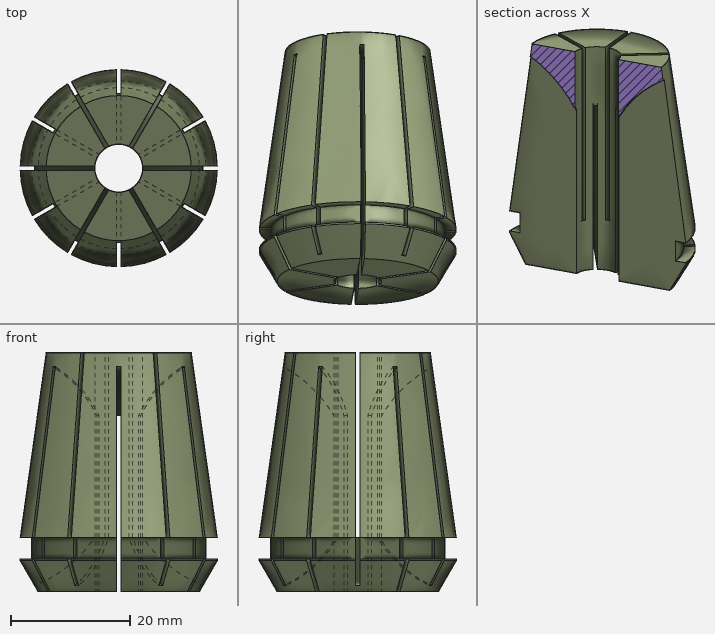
import cadquery as cq
import math

height = 40.0
max_radius = 33.0 / 2
bore_radius = 4.0

taper_bottom = 9.05
taper_half_angle = 8.0
top_radius = max_radius - (height - taper_bottom) * math.tan(math.radians(taper_half_angle))

groove_radius = 14.6
groove_bottom = 5.5
rim_height = 0.3
rim_bottom = groove_bottom - rim_height
nose_half_angle = 30.0
nose_radius = max_radius - rim_bottom * math.tan(math.radians(nose_half_angle))

slots_per_end = 6
slot_pitch = 360.0 / slots_per_end
slot_width = 0.7
saw_radius = 22.0
top_slot_saw_distance = 22.15
top_slot_saw_height = 21.5
bottom_slot_saw_distance = 22.95
bottom_slot_saw_height = 18.3
cut_clearance = 2.0


def collet_body():
    """Revolved body with its through bore."""
    return (
        cq.Workplane("XZ")
        .moveTo(bore_radius, 0)
        .lineTo(nose_radius, 0)
        .lineTo(max_radius, rim_bottom)
        .lineTo(max_radius, groove_bottom)
        .lineTo(groove_radius, groove_bottom)
        .lineTo(groove_radius, taper_bottom)
        .lineTo(max_radius, taper_bottom)
        .lineTo(top_radius, height)
        .lineTo(bore_radius, height)
        .close()
        .revolve(360, (0, 0, 0), (0, 1, 0))
    )


def slot_cutter(saw_distance, saw_height, side):
    """Slot along +X, closed by a saw arc; side is 1 if it opens at the top, -1 at the bottom."""

    def arc_height(radius):
        return saw_height - side * math.sqrt(saw_radius**2 - (saw_distance - radius) ** 2)

    inner = bore_radius - cut_clearance
    outer = max_radius + cut_clearance
    middle = (inner + outer) / 2
    open_end = height + cut_clearance if side > 0 else -cut_clearance
    return (
        cq.Workplane("XZ")
        .moveTo(inner, arc_height(inner))
        .threePointArc((middle, arc_height(middle)), (outer, arc_height(outer)))
        .lineTo(outer, open_end)
        .lineTo(inner, open_end)
        .close()
        .extrude(slot_width / 2, both=True)
    )


top_slot = slot_cutter(top_slot_saw_distance, top_slot_saw_height, 1)
bottom_slot = slot_cutter(bottom_slot_saw_distance, bottom_slot_saw_height, -1)

result = collet_body()
for index in range(slots_per_end):
    angle = index * slot_pitch
    result = result.cut(top_slot.rotate((0, 0, 0), (0, 0, 1), angle))
    result = result.cut(bottom_slot.rotate((0, 0, 0), (0, 0, 1), angle + slot_pitch / 2))